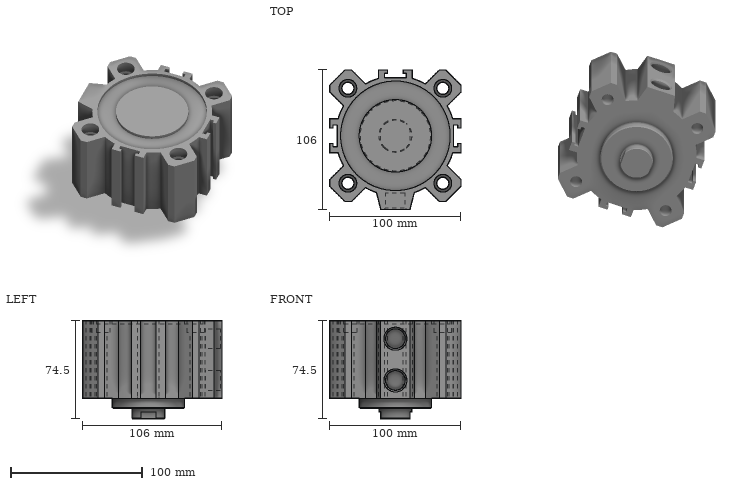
import cadquery as cq
import math

body_height = 59.0
body_diameter = 91.0
square_size = 100.0
half_square = square_size / 2

lug_width = 23.5
lug_reach = 62.4
bolt_offset = 36.0
bolt_diameter = 9.0
counterbore_diameter = 13.5
counterbore_depth = 9.0

rail_width = 26.0
slot_opening = 11.7
slot_inner_width = 16.3
slot_depth = 5.7
slot_lip = 2.6

total_depth = 106.0
port_face_y = half_square - total_depth
port_face_width = 22.3
port_root_width = 28.8
port_diameter = 14.9
port_rim_diameter = 17.5
port_rim_depth = (port_rim_diameter - port_diameter) / 2
port_depth = 12.7
port_end_distance = 13.7

recess_diameter = 83.2
recess_depth = 2.5
boss_diameter = 55.0
collar_height = 7.5
collar_chamfer = 0.8

rod_diameter = 25.0
rod_length = 8.0
rod_chamfer = 0.5
flat_spacing = 22.3
flat_length = 5.3


def make_lugs():
    """Two crossed diagonal bars, trimmed to the square outline."""
    square = cq.Workplane("XY").rect(square_size, square_size).extrude(body_height)
    bar = cq.Workplane("XY").rect(2 * lug_reach, lug_width).extrude(body_height)
    turned = [bar.rotate((0, 0, 0), (0, 0, 1), angle) for angle in (45, 135)]
    return turned[0].union(turned[1]).intersect(square)


def make_rail():
    """Rail block pointing along +X, before its slot is cut."""
    return cq.Workplane("XY").center(half_square / 2, 0).rect(half_square, rail_width).extrude(body_height)


def make_slot():
    """T-shaped groove for a rail pointing along +X."""
    floor_x = half_square - slot_depth
    lip_x = half_square - slot_lip
    return (
        cq.Workplane("XY")
        .moveTo(half_square, -slot_opening / 2)
        .lineTo(lip_x, -slot_opening / 2)
        .lineTo(lip_x, -slot_inner_width / 2)
        .lineTo(floor_x, -slot_inner_width / 2)
        .lineTo(floor_x, slot_inner_width / 2)
        .lineTo(lip_x, slot_inner_width / 2)
        .lineTo(lip_x, slot_opening / 2)
        .lineTo(half_square, slot_opening / 2)
        .close()
        .extrude(body_height)
    )


def make_port_block():
    """Tapered block whose flanks start on the round body."""
    face_half = port_face_width / 2
    root_half = port_root_width / 2
    root_y = -math.sqrt((body_diameter / 2) ** 2 - root_half**2)
    outline = [
        (0, 0),
        (-root_half, root_y),
        (-face_half, port_face_y),
        (face_half, port_face_y),
        (root_half, root_y),
    ]
    return cq.Workplane("XY").polyline(outline).close().extrude(body_height)


def make_port(height):
    """Blind port with a conical rim, sunk into the port face along +Y."""
    bore_radius = port_diameter / 2
    rim_radius = port_rim_diameter / 2
    half_section = [
        (0, 0),
        (rim_radius, 0),
        (bore_radius, port_rim_depth),
        (bore_radius, port_depth),
        (0, port_depth),
    ]
    port = cq.Workplane("XY").polyline(half_section).close().revolve(360, (0, 0, 0), (0, 1, 0))
    return port.translate((0, port_face_y, height))


def make_recess():
    """Ring-shaped recess that leaves the boss level with the upper face."""
    return (
        cq.Workplane("XY", origin=(0, 0, body_height - recess_depth))
        .circle(recess_diameter / 2)
        .circle(boss_diameter / 2)
        .extrude(recess_depth)
    )


def make_collar():
    """Chamfered collar under the housing."""
    collar = cq.Workplane("XY").circle(boss_diameter / 2).extrude(-collar_height)
    return collar.faces("<Z").chamfer(collar_chamfer)


def make_housing():
    housing = cq.Workplane("XY").circle(body_diameter / 2).extrude(body_height)
    housing = housing.union(make_lugs()).union(make_port_block())
    for angle in (0, 90, 180):
        housing = housing.union(make_rail().rotate((0, 0, 0), (0, 0, 1), angle))
        housing = housing.cut(make_slot().rotate((0, 0, 0), (0, 0, 1), angle))
    housing = (
        housing.faces(">Z")
        .workplane(origin=(0, 0, body_height))
        .rect(2 * bolt_offset, 2 * bolt_offset, forConstruction=True)
        .vertices()
        .cboreHole(bolt_diameter, counterbore_diameter, counterbore_depth)
    )
    for height in (port_end_distance, body_height - port_end_distance):
        housing = housing.cut(make_port(height))
    return housing.cut(make_recess()).union(make_collar())


def make_rod():
    """Round rod with two wrench flats facing -X and +X at its free end."""
    rod = cq.Workplane("XY").circle(rod_diameter / 2).extrude(rod_length).faces("<Z").chamfer(rod_chamfer)
    end_zone = cq.Workplane("XY").rect(2 * rod_diameter, 2 * rod_diameter).extrude(flat_length)
    kept = cq.Workplane("XY").rect(flat_spacing, 2 * rod_diameter).extrude(flat_length)
    rod = rod.cut(end_zone.cut(kept))
    return rod.translate((0, 0, -collar_height - rod_length))


housing = make_housing()
rod = make_rod()

result = cq.Compound.makeCompound([housing.val(), rod.val()])